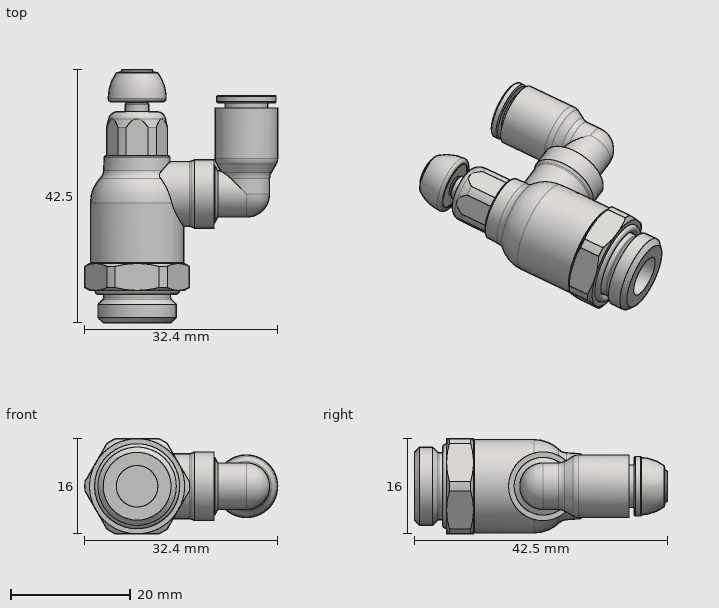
import cadquery as cq
import math


thread_radius = 6.6
end_face_radius = 5.7
neck_radius = 5.65
thread_chamfer_end = 0.85
thread_end = 3.1
relief_radius = 5.8
relief_end = 3.9
neck_start = 4.15
bore_radius = 3.5
bore_depth = 9.95

seal_ring_radius = 6.45
seal_bead_radius = 0.7
nut_start = 5.45
nut_end = bore_depth
nut_flats = 16.0
nut_corner_radius = 8.8
nut_face_radius = nut_flats / 2
nut_chamfer = 0.45

body_radius = 7.85
body_foot_chamfer = 0.2
shoulder_start = 20.15
shoulder_turn = 24.25
shoulder_turn_radius = 6.2
collar_start = 25.55
collar_radius = 5.65
collar_end = 28.15
collar_end_radius = 5.52
collar_chamfer = 0.25

grip_flats = 9.6
grip_corner_radius = 5.15
grip_face_radius = 3.53
grip_taper_start = 32.8
grip_round_start = 34.25
grip_end = 35.45

stem_radius = 2.0
stem_chamfer = 0.25
stem_end = 36.98
knob_start = 37.1
knob_recess_radius = 4.0
knob_recess_depth = 0.15
knob_radius = 4.9
knob_rim_round = 0.6
dome_end = 42.0
dome_end_radius = 3.5
tip_radius = 2.7
tip_end_radius = 2.55
tip_chamfer_start = 42.15
overall_length = 42.5

branch_y = 21.65
branch_radius = 5.5
ring_radius = 5.8
ring_blend_start = 8.85
ring_chamfer_start = 9.1
ring_chamfer_radius = 5.52
ring_start = 9.65
ring_end = 12.9
elbow_flare_radius = 4.85
elbow_flare_start = 13.05
elbow_flare_end = 13.55
elbow_radius = 3.9

socket_x = 18.35
socket_radius = 5.25
flare_start = 24.22
flare_end = 27.62
flare_angle = math.radians(30)
socket_end = 36.1
release_neck_radius = 3.6
release_start = 36.95
release_end = 38.2
release_radius = 5.0
release_chamfer = 0.2


def turned(profile):
    """Solid of revolution about Y from a closed (radius, Y) outline."""
    return profile.close().revolve(360, (0, 0, 0), (0, 1, 0))


def hex_prism(flats, start, end):
    """Hexagonal prism along Y with two corners on the X direction."""
    corner_diameter = flats / math.cos(math.pi / 6)
    base = cq.Workplane("XZ", origin=(0, start, 0))
    return base.polygon(6, corner_diameter).extrude(start - end)


def make_threaded_end():
    return turned(
        cq.Workplane("XY")
        .moveTo(0, 0)
        .lineTo(end_face_radius, 0)
        .lineTo(thread_radius, thread_chamfer_end)
        .lineTo(thread_radius, thread_end)
        .lineTo(relief_radius, relief_end)
        .tangentArcPoint((neck_radius, neck_start), relative=False)
        .lineTo(neck_radius, nut_start)
        .lineTo(0, nut_start)
    )


def make_seal_bead():
    """Round ring half sunk into the lower face of the nut."""
    section = cq.Workplane("XY").center(seal_ring_radius, nut_start).circle(seal_bead_radius)
    return section.revolve(360, (-seal_ring_radius, 0, 0), (-seal_ring_radius, 1, 0))


def make_nut():
    blank = turned(
        cq.Workplane("XY")
        .moveTo(0, nut_start)
        .lineTo(nut_face_radius, nut_start)
        .lineTo(nut_corner_radius, nut_start + nut_chamfer)
        .lineTo(nut_corner_radius, nut_end - nut_chamfer)
        .lineTo(nut_face_radius, nut_end)
        .lineTo(0, nut_end)
    )
    return blank.intersect(hex_prism(nut_flats, nut_start, nut_end))


def make_body():
    return turned(
        cq.Workplane("XY")
        .moveTo(0, nut_end)
        .lineTo(body_radius - body_foot_chamfer, nut_end)
        .lineTo(body_radius, nut_end + body_foot_chamfer)
        .lineTo(body_radius, shoulder_start)
        .tangentArcPoint((shoulder_turn_radius, shoulder_turn), relative=False)
        .tangentArcPoint((collar_radius, collar_start), relative=False)
        .lineTo(collar_end_radius, collar_end - collar_chamfer)
        .lineTo(collar_end_radius - collar_chamfer, collar_end)
        .lineTo(0, collar_end)
    )


def make_grip():
    blank = turned(
        cq.Workplane("XY")
        .moveTo(0, collar_end)
        .lineTo(grip_corner_radius, collar_end)
        .lineTo(grip_corner_radius, grip_taper_start)
        .lineTo(grip_flats / 2, grip_round_start)
        .tangentArcPoint((grip_face_radius, grip_end), relative=False)
        .lineTo(0, grip_end)
    )
    return blank.intersect(hex_prism(grip_flats, collar_end, grip_end))


def make_stem_and_knob():
    recess_floor = knob_start + knob_recess_depth
    stem_tip_radius = stem_radius - stem_chamfer
    return turned(
        cq.Workplane("XY")
        .moveTo(0, grip_end)
        .lineTo(stem_radius, grip_end)
        .lineTo(stem_radius, stem_end - stem_chamfer)
        .lineTo(stem_tip_radius, stem_end)
        .lineTo(stem_tip_radius, recess_floor)
        .lineTo(knob_recess_radius, recess_floor)
        .lineTo(knob_recess_radius, knob_start)
        .lineTo(knob_radius - knob_rim_round, knob_start)
        .radiusArc((knob_radius, knob_start + knob_rim_round), -knob_rim_round)
        .tangentArcPoint((dome_end_radius, dome_end), relative=False)
        .lineTo(tip_radius, tip_chamfer_start)
        .lineTo(tip_end_radius, overall_length)
        .lineTo(0, overall_length)
    )


def make_branch():
    """Branch, ring and elbow pipe, turned about the X-parallel branch axis."""
    profile = (
        cq.Workplane("XY", origin=(0, branch_y, 0))
        .moveTo(0, 0)
        .lineTo(0, branch_radius)
        .lineTo(ring_blend_start, branch_radius)
        .tangentArcPoint((ring_chamfer_start, ring_chamfer_radius), relative=False)
        .lineTo(ring_start, ring_radius)
        .lineTo(ring_end, ring_radius)
        .lineTo(ring_end, elbow_flare_radius)
        .lineTo(elbow_flare_start, elbow_flare_radius)
        .lineTo(elbow_flare_end, elbow_radius)
        .lineTo(socket_x, elbow_radius)
        .lineTo(socket_x, 0)
        .close()
    )
    return profile.revolve(360, (0, 0, 0), (1, 0, 0))


def make_elbow_corner():
    return cq.Workplane("XY").sphere(elbow_radius).translate((socket_x, branch_y, 0))


def make_socket():
    """Upright elbow pipe, flare, tube socket and release ring."""
    flare_length = flare_end - flare_start
    widening = socket_radius - elbow_radius
    arc_turn = 2 * (1 - math.cos(flare_angle) - math.sin(flare_angle) * math.tan(flare_angle))
    arc_radius = (widening - flare_length * math.tan(flare_angle)) / arc_turn
    arc_height = arc_radius * math.sin(flare_angle)
    arc_widening = arc_radius * (1 - math.cos(flare_angle))
    release_face_radius = release_radius - release_chamfer
    socket = turned(
        cq.Workplane("XY")
        .moveTo(0, branch_y)
        .lineTo(elbow_radius, branch_y)
        .lineTo(elbow_radius, flare_start)
        .radiusArc((elbow_radius + arc_widening, flare_start + arc_height), arc_radius)
        .lineTo(socket_radius - arc_widening, flare_end - arc_height)
        .radiusArc((socket_radius, flare_end), -arc_radius)
        .lineTo(socket_radius, socket_end)
        .lineTo(release_neck_radius, socket_end)
        .lineTo(release_neck_radius, release_start)
        .lineTo(release_face_radius, release_start)
        .lineTo(release_radius, release_start + release_chamfer)
        .lineTo(release_radius, release_end - release_chamfer)
        .lineTo(release_face_radius, release_end)
        .lineTo(0, release_end)
    )
    return socket.translate((socket_x, 0, 0))


def make_bore():
    return cq.Workplane("XZ").circle(bore_radius).extrude(-bore_depth)


main_column = (
    make_threaded_end()
    .union(make_nut())
    .union(make_seal_bead())
    .union(make_body())
    .union(make_grip())
    .union(make_stem_and_knob())
)
side_outlet = make_branch().union(make_elbow_corner()).union(make_socket())

result = main_column.union(side_outlet).cut(make_bore())